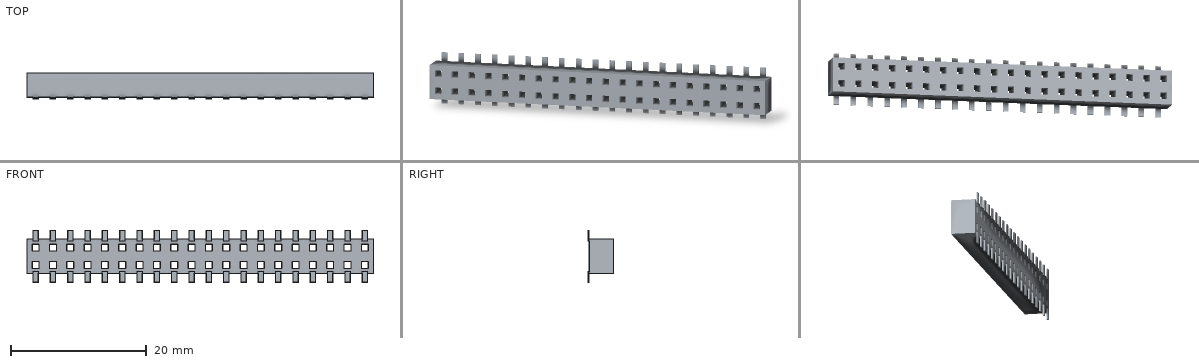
import cadquery as cq

columns = 20
rows = 2
pitch = 2.55
overall_depth = 3.8
overall_height = 7.6
lead_thickness = 0.2
lead_width = 0.8
lead_length = 1.6
hole_side = 0.95

body_length = columns * pitch
body_height = rows * pitch
body_depth = overall_depth - lead_thickness

front_y = -body_depth / 2
lead_y = front_y - lead_thickness / 2
lead_z = (overall_height - lead_length) / 2


def housing():
    """Plain rectangular block centred on the origin."""
    return cq.Workplane("XY").box(body_length, body_depth, body_height)


def contact_holes():
    """Square cutters passing through the housing from front to back."""
    return (
        cq.Workplane("XZ")
        .rarray(pitch, pitch, columns, rows)
        .rect(hole_side, hole_side)
        .extrude(body_depth, both=True)
    )


def lead_row(z):
    """One row of flat surface-mount leads, centred at height z."""
    return (
        cq.Workplane("XY", origin=(0, lead_y, z))
        .rarray(pitch, pitch, columns, 1)
        .box(lead_width, lead_thickness, lead_length)
    )


result = housing().cut(contact_holes())
for side in (-1, 1):
    result = result.union(lead_row(side * lead_z))